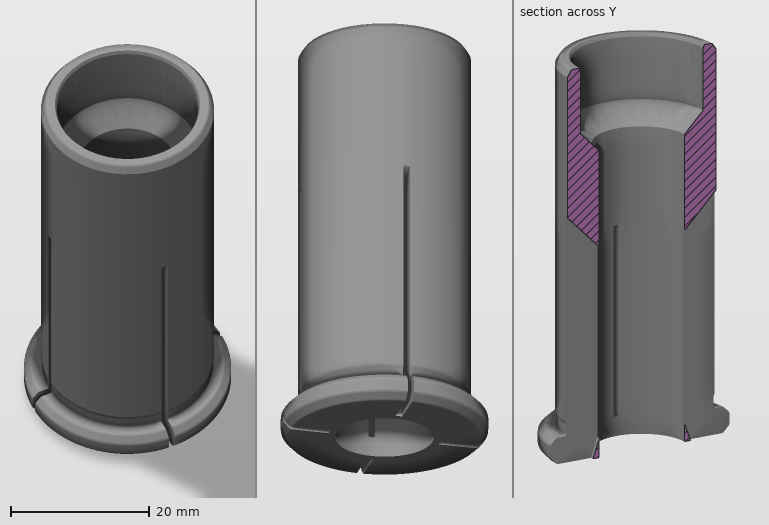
import cadquery as cq
import math

height = 60.0
body_radius = 25.0 / 2
flange_radius = 15.0

flange_height = 4.0
bottom_bevel = 1.1
top_bevel_width = 1.0
top_bevel_height = 0.95
flange_corner_radius = 0.5

groove_depth = 0.15
groove_top = 5.75
groove_ramp_top = 6.3
groove_root_radius = 0.3

mouth_bevel_width = 0.7
mouth_bevel_height = 1.1
mouth_corner_radius = 0.5
mouth_chamfer_width = 0.25
mouth_chamfer_height = 0.5

bore_radius = 14.3 / 2
socket_radius = 20.5 / 2
socket_floor = 50.0
seat_drop = socket_radius - bore_radius

slot_width = 0.95
slot_count = 4
slot_top = 37.5
slot_foot_height = 3.0
slot_foot_angle = 20


def make_shell():
    """Revolve the outer outline, then soften its bevel corners."""
    groove_radius = body_radius - groove_depth
    flange_bevel_start = flange_height - top_bevel_height
    mouth_bevel_start = height - mouth_bevel_height
    shell = (
        cq.Workplane("XZ")
        .lineTo(flange_radius - bottom_bevel, 0)
        .lineTo(flange_radius, bottom_bevel)
        .lineTo(flange_radius, flange_bevel_start)
        .lineTo(flange_radius - top_bevel_width, flange_height)
        .lineTo(groove_radius, flange_height)
        .lineTo(groove_radius, groove_top)
        .lineTo(body_radius, groove_ramp_top)
        .lineTo(body_radius, mouth_bevel_start)
        .lineTo(body_radius - mouth_bevel_width, height)
        .lineTo(0, height)
        .close()
        .revolve(360, (0, 0, 0), (0, 1, 0))
    )
    flange_corners = [
        (flange_radius - bottom_bevel, 0),
        (flange_radius, bottom_bevel),
        (flange_radius, flange_bevel_start),
        (flange_radius - top_bevel_width, flange_height),
    ]
    for corner_radius, corner_z in flange_corners:
        shell = round_ring(shell, corner_radius, corner_z, flange_corner_radius)
    shell = round_ring(shell, groove_radius, flange_height, groove_root_radius)
    return round_ring(shell, body_radius - mouth_bevel_width, height, mouth_corner_radius)


def round_ring(solid, ring_radius, z, fillet_radius):
    """Fillet the circular edge of the given radius at height z."""
    reach = 0.03
    selector = cq.selectors.BoxSelector(
        (-ring_radius - reach, -ring_radius - reach, z - reach),
        (ring_radius + reach, ring_radius + reach, z + reach),
        boundingbox=True,
    )
    ring = solid.edges(selector).edges(cq.selectors.RadiusNthSelector(-1))
    return solid.newObject(ring.vals()).fillet(fillet_radius)


def make_bore():
    """Through bore, conical seat and wider socket with a chamfered mouth."""
    return (
        cq.Workplane("XZ")
        .lineTo(bore_radius, 0)
        .lineTo(bore_radius, socket_floor - seat_drop)
        .lineTo(socket_radius, socket_floor)
        .lineTo(socket_radius, height - mouth_chamfer_height)
        .lineTo(socket_radius + mouth_chamfer_width, height)
        .lineTo(0, height)
        .close()
        .revolve(360, (0, 0, 0), (0, 1, 0))
    )


def make_slot():
    """One slot along +X, opening fully into the bore between its sloped ends."""
    wall = body_radius - bore_radius
    foot_run = slot_foot_height * math.tan(math.radians(slot_foot_angle))
    return (
        cq.Workplane("XZ")
        .moveTo(bore_radius + foot_run, 0)
        .lineTo(bore_radius, slot_foot_height)
        .lineTo(0, slot_foot_height)
        .lineTo(0, slot_top - wall)
        .lineTo(bore_radius, slot_top - wall)
        .lineTo(body_radius, slot_top)
        .lineTo(flange_radius, slot_top)
        .lineTo(flange_radius, 0)
        .close()
        .extrude(slot_width / 2, both=True)
    )


result = make_shell().cut(make_bore())
for index in range(slot_count):
    slot = make_slot().rotate((0, 0, 0), (0, 0, 1), index * 360 / slot_count)
    result = result.cut(slot)